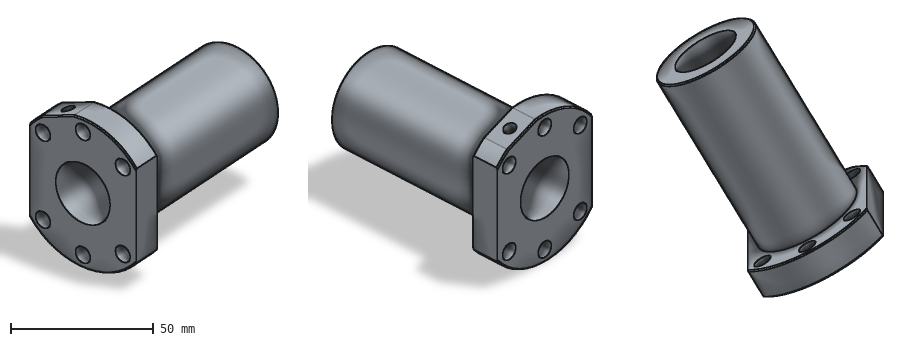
import cadquery as cq
import math

total_length = 85.0
body_diameter = 40.0
bore_diameter = 24.6
edge_chamfer = 0.5

flange_diameter = 62.0
flange_thickness = 12.0
flange_width = 48.0

bolt_hole_diameter = 6.6
bolt_circle_radius = 25.5
bolt_angles = (45, 90, 135, 225, 270, 315)

port_diameter = 4.9
port_flat_distance = 30.0
port_tilt = 22.5


def cylinder(diameter, length):
    """Cylinder on the main axis, from Y = 0 toward +Y."""
    return cq.Workplane("XZ").circle(diameter / 2).extrude(-length)


def make_flange():
    """Disc with the port flat, chamfered all round, then trimmed by two plain side flats."""
    trim_size = 2 * flange_diameter
    port_trim = (
        cq.Workplane("XY")
        .box(trim_size, trim_size, trim_size, centered=(True, True, False))
        .translate((0, 0, port_flat_distance))
        .rotate((0, 0, 0), (0, 1, 0), -port_tilt)
    )
    disc = cylinder(flange_diameter, flange_thickness).cut(port_trim)
    disc = disc.faces("<Y or >Y").edges().chamfer(edge_chamfer)
    side_trim = cq.Workplane("XY").box(flange_width, trim_size, trim_size)
    return disc.intersect(side_trim)


def make_body():
    """Nut barrel with a chamfered far end."""
    return cylinder(body_diameter, total_length).faces(">Y").edges().chamfer(edge_chamfer)


def make_bolt_holes():
    """Through holes of the flange."""
    centers = [
        (
            bolt_circle_radius * math.cos(math.radians(angle)),
            bolt_circle_radius * math.sin(math.radians(angle)),
        )
        for angle in bolt_angles
    ]
    return (
        cq.Workplane("XZ")
        .pushPoints(centers)
        .circle(bolt_hole_diameter / 2)
        .extrude(-flange_thickness)
    )


def make_oil_port():
    """Radial hole from the bore out through the port flat."""
    tilt = math.radians(port_tilt)
    outward = cq.Vector(-math.sin(tilt), 0, math.cos(tilt))
    start = cq.Vector(0, flange_thickness / 2, 0)
    port = cq.Solid.makeCylinder(port_diameter / 2, flange_diameter / 2, start, outward)
    return cq.Workplane(obj=port)


result = (
    make_flange()
    .union(make_body())
    .cut(cylinder(bore_diameter, total_length))
    .cut(make_bolt_holes())
    .cut(make_oil_port())
)